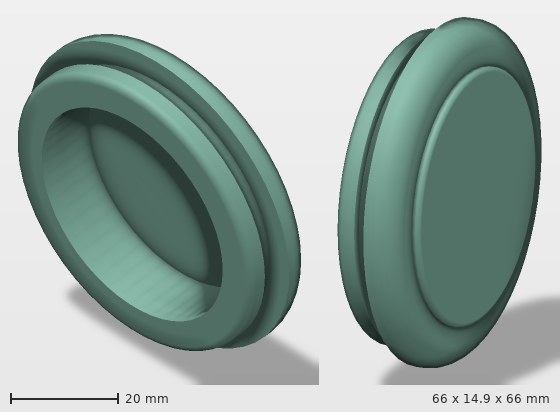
import cadquery as cq

brim_radius = 33.0
flange_radius = 29.95
groove_radius = 28.0
boss_radius = 24.6
bore_radius = 23.0

flange_thickness = 4.0
groove_width = 3.4
brim_thickness = 6.0
boss_height = 1.5
floor_thickness = 2.05

flange_rounding = 1.5
brim_rounding = 4.5
boss_rounding = 0.85

total_length = flange_thickness + groove_width + brim_thickness + boss_height
bore_depth = total_length - floor_thickness


def disc(radius, thickness, start):
    """Disc on the Y axis, running from start toward +Y."""
    return cq.Workplane("XZ", origin=(0, start, 0)).circle(radius).extrude(-thickness)


open_end = -total_length / 2
groove_start = open_end + flange_thickness
brim_start = groove_start + groove_width
boss_start = brim_start + brim_thickness

flange = disc(flange_radius, flange_thickness, open_end).faces("<Y").edges().fillet(flange_rounding)
groove = disc(groove_radius, groove_width, groove_start)
brim = disc(brim_radius, brim_thickness, brim_start).faces(">Y").edges().fillet(brim_rounding)
boss = disc(boss_radius, boss_height, boss_start).faces(">Y").edges().fillet(boss_rounding)
bore = disc(bore_radius, bore_depth, open_end)

result = flange.union(groove).union(brim).union(boss).cut(bore)